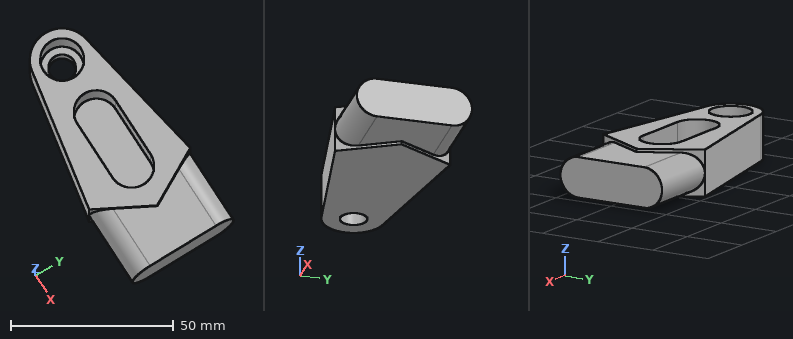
import cadquery as cq
import math

total_length = 80.0
width = 37.0
body_height = 15.0

nose_radius = 10.0
shoulder_x = 55.0
tip_x = 65.0

tongue_thickness = 13.0

hole_diameter = 8.5
counterbore_diameter = 13.5
counterbore_depth = 10.0

slot_length = 34.2
slot_width = 13.9
slot_center_x = 40.0
slot_depth = 10.0

half_width = width / 2
top_z = body_height / 2


def make_body():
    """Plate whose straight sides are tangent to the nose and which ends in a point."""
    run = shoulder_x - nose_radius
    center_to_shoulder = math.hypot(run, half_width)
    tangent_angle = math.atan2(half_width, run) + math.acos(nose_radius / center_to_shoulder)
    tangent_x = nose_radius + nose_radius * math.cos(tangent_angle)
    tangent_y = nose_radius * math.sin(tangent_angle)
    return (
        cq.Workplane("XY")
        .workplane(offset=-top_z)
        .moveTo(tangent_x, -tangent_y)
        .lineTo(shoulder_x, -half_width)
        .lineTo(tip_x, 0)
        .lineTo(shoulder_x, half_width)
        .lineTo(tangent_x, tangent_y)
        .threePointArc((0, 0), (tangent_x, -tangent_y))
        .close()
        .extrude(body_height)
    )


def make_tongue():
    """Obround bar running from the shoulders to the far end."""
    return (
        cq.Workplane("YZ")
        .workplane(offset=shoulder_x)
        .slot2D(width, tongue_thickness)
        .extrude(total_length - shoulder_x)
    )


def cut_stepped_hole(part):
    return (
        part.faces(">Z")
        .workplane(origin=(nose_radius, 0, top_z))
        .cboreHole(hole_diameter, counterbore_diameter, counterbore_depth)
    )


def cut_slot(part):
    return (
        part.faces(">Z")
        .workplane(origin=(slot_center_x, 0, top_z))
        .slot2D(slot_length, slot_width)
        .cutBlind(-slot_depth)
    )


result = make_body().union(make_tongue())
result = cut_stepped_hole(result)
result = cut_slot(result)